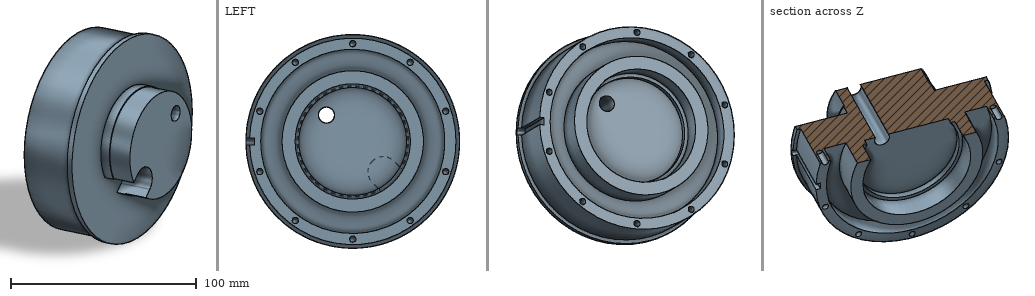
import cadquery as cq
import math

body_front = 6.8
flange_front = 36.2
flange_back = 39.3
collar_back = 45.0
spigot_back = 58.0

flange_dia = 115
body_dia = 111.0
trough_dia = 99.0
hub_dia = 76.0
bore_dia = 62.0
inner_bore_dia = 58.0
collar_dia = 60.0
spigot_dia = 59.1

trough_depth = 10.4
bore_depth = 12.0
inner_bore_depth = 3.5

screw_count = 10
screw_dia = 3.3
screw_circle_radius = 52.5
screw_depth = 9.2
drill_point_angle = 118

through_dia = 8.5
through_offset = 14.1

notch_width = 3.9
notch_inner_y = 52.9
notch_floor = 38.2

channel_radius = 8.2
channel_centre_radius = 23.1
channel_angle = 45


def disc(diameter, start, end):
    """Solid cylinder about the X axis between two X positions."""
    return cq.Workplane("YZ", origin=(start, 0, 0)).circle(diameter / 2).extrude(end - start)


def turned_body():
    trough_floor = body_front + trough_depth
    bore_floor = bore_depth + inner_bore_depth
    body = disc(body_dia, body_front, flange_front)
    body = body.union(disc(flange_dia, flange_front, flange_back))
    body = body.cut(disc(trough_dia, body_front, trough_floor))
    body = body.union(disc(hub_dia, 0, trough_floor))
    body = body.union(disc(collar_dia, flange_back, collar_back))
    body = body.union(disc(spigot_dia, collar_back, spigot_back))
    body = body.cut(disc(bore_dia, 0, bore_depth))
    return body.cut(disc(inner_bore_dia, bore_depth, bore_floor))


def screw_hole(angle):
    """Drilled hole with a conical bottom, at an angle from +Z about the X axis."""
    radius = screw_dia / 2
    point_length = radius / math.tan(math.radians(drill_point_angle / 2))
    hole = (
        cq.Workplane("XY")
        .moveTo(body_front, 0)
        .lineTo(body_front, radius)
        .lineTo(body_front + screw_depth, radius)
        .lineTo(body_front + screw_depth + point_length, 0)
        .close()
        .revolve(360, (0, 0, 0), (1, 0, 0))
    )
    return hole.translate((0, 0, screw_circle_radius)).rotate((0, 0, 0), (1, 0, 0), angle)


def through_hole():
    return disc(through_dia, 0, spigot_back).translate((0, through_offset, through_offset))


def rim_notch():
    """Radial slot, open to the front, ending in a half-round floor."""
    half_width = notch_width / 2
    arc_start = notch_floor - half_width
    return (
        cq.Workplane("XZ", origin=(0, notch_inner_y, 0))
        .moveTo(0, -half_width)
        .lineTo(arc_start, -half_width)
        .threePointArc((notch_floor, 0), (arc_start, half_width))
        .lineTo(0, half_width)
        .close()
        .extrude(notch_inner_y - flange_dia / 2)
    )


def spigot_channel():
    """Channel with a round inner end, open to the outside of the spigot."""
    length = spigot_back - flange_back
    centre_y = -channel_centre_radius
    outer_y = -flange_dia / 2
    channel = (
        cq.Workplane("YZ", origin=(flange_back, 0, 0))
        .moveTo(outer_y, -channel_radius)
        .lineTo(centre_y, -channel_radius)
        .threePointArc((centre_y + channel_radius, 0), (centre_y, channel_radius))
        .lineTo(outer_y, channel_radius)
        .close()
        .extrude(length)
    )
    return channel.rotate((0, 0, 0), (1, 0, 0), channel_angle)


result = turned_body()
for index in range(screw_count):
    result = result.cut(screw_hole(index * 360 / screw_count))
result = result.cut(through_hole())
result = result.cut(rim_notch())
result = result.cut(spigot_channel())